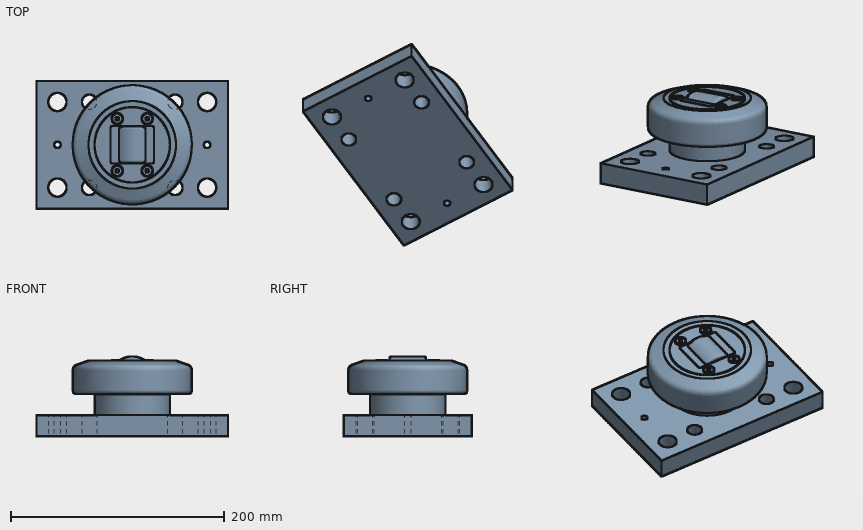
import cadquery as cq

plate_length = 180
plate_width = 120.0
plate_height = 20.0
hole_x = 70.2
hole_y = 40.1
inner_hole_x = 40.1
corner_hole_diameter = 17.0
inner_hole_diameter = 13.9
pin_hole_diameter = 6.0

neck_diameter = 71.0
wheel_edge_radius = 55.8
wheel_radius = 56.0
shoulder_height = 0.5
wheel_bottom = 39.6
wheel_top = 71.1
crown_radius = 41.0
cone_edge_height = 65.9
top_rounding = 5.4
bottom_rounding = 3.2

cover_diameter = 70.5
cover_gap = (neck_diameter - cover_diameter) / 2
cover_gap_depth = 0.5

total_height = 75.0
window_length = 40.5
window_width = 35.3
window_depth = 0.4
window_corner = 1.8
roller_radius = 20.0
roller_length = 34.4
roller_rounding = 2.5
roller_axis_height = total_height - roller_radius

screw_x = 14.0
screw_y = 24.5
screw_diameter = 9.7
screw_seat_diameter = 10.6
screw_seat_depth = 0.5
screw_top = wheel_top + 0.4
socket_diameter = 3.2
socket_depth = 0.4


def four_points(x, y):
    return [(x, y), (-x, y), (-x, -y), (x, -y)]


def make_plate():
    plate = cq.Workplane("XY").box(plate_length, plate_width, plate_height, centered=(True, True, False))
    patterns = [
        (four_points(hole_x, hole_y), corner_hole_diameter),
        (four_points(inner_hole_x, hole_y), inner_hole_diameter),
        ([(-hole_x, 0), (hole_x, 0)], pin_hole_diameter),
    ]
    for points, diameter in patterns:
        plate = plate.faces(">Z").workplane(origin=(0, 0, plate_height)).pushPoints(points).hole(diameter)
    return plate


def make_neck():
    neck_length = wheel_bottom - plate_height
    return (
        cq.Workplane("XY", origin=(0, 0, plate_height))
        .circle(neck_diameter / 2)
        .extrude(neck_length - shoulder_height)
        .faces(">Z")
        .workplane()
        .circle(cover_diameter / 2)
        .extrude(shoulder_height)
    )


def make_wheel():
    rim_middle = (wheel_bottom + cone_edge_height) / 2
    wheel = (
        cq.Workplane("XZ")
        .moveTo(0, wheel_bottom)
        .lineTo(wheel_edge_radius, wheel_bottom)
        .threePointArc((wheel_radius, rim_middle), (wheel_edge_radius, cone_edge_height))
        .lineTo(crown_radius, wheel_top)
        .lineTo(0, wheel_top)
        .close()
        .revolve(360, (0, 0, 0), (0, 1, 0))
    )
    wheel = wheel.faces("<Z").edges().fillet(bottom_rounding)
    rim = cq.selectors.BoxSelector(
        (-2 * wheel_radius, -2 * wheel_radius, cone_edge_height - 0.2),
        (2 * wheel_radius, 2 * wheel_radius, cone_edge_height + 0.2),
    )
    return wheel.edges(rim).fillet(top_rounding)


def make_cover_gap():
    return (
        cq.Workplane("XY", origin=(0, 0, wheel_top - cover_gap_depth))
        .circle(cover_diameter / 2 + cover_gap)
        .circle(cover_diameter / 2)
        .extrude(cover_gap_depth)
    )


def make_window():
    return (
        cq.Workplane("XY", origin=(0, 0, wheel_top - window_depth))
        .rect(window_length, window_width)
        .extrude(window_depth)
        .edges("|Z")
        .fillet(window_corner)
    )


def make_side_roller():
    return (
        cq.Workplane("XZ", origin=(0, 0, roller_axis_height))
        .circle(roller_radius)
        .extrude(roller_length / 2, both=True)
        .edges()
        .fillet(roller_rounding)
    )


def make_screw_cylinders(diameter, bottom, top):
    return (
        cq.Workplane("XY", origin=(0, 0, bottom))
        .pushPoints(four_points(screw_x, screw_y))
        .circle(diameter / 2)
        .extrude(top - bottom)
    )


seat_bottom = wheel_top - screw_seat_depth
result = make_plate().union(make_neck()).union(make_wheel())
result = result.cut(make_cover_gap()).cut(make_window()).union(make_side_roller())
result = result.cut(make_screw_cylinders(screw_seat_diameter, seat_bottom, wheel_top))
result = result.union(make_screw_cylinders(screw_diameter, seat_bottom, screw_top))
result = result.cut(make_screw_cylinders(socket_diameter, screw_top - socket_depth, screw_top))